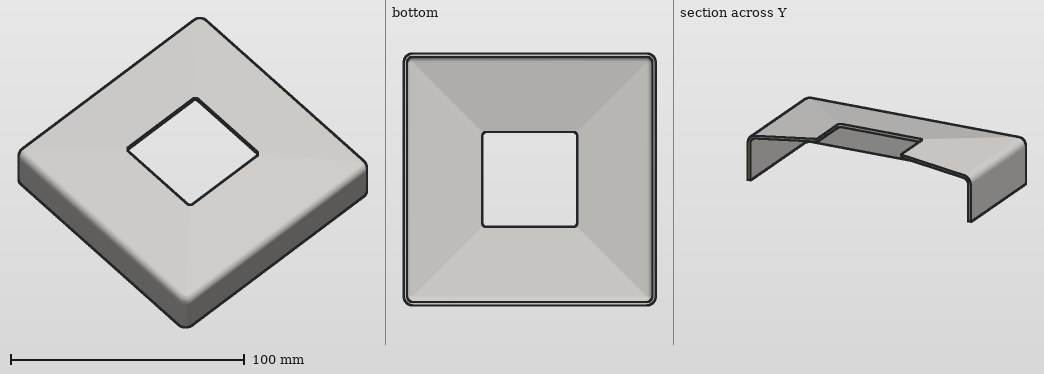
import cadquery as cq
import math

side = 108.0
rim_height = 25.0
opening = 40.5
opening_radius = 1.5
roof_angle = 7.5
edge_radius = 4.0
wall = 1.5

roof_slope = math.tan(math.radians(roof_angle))
eaves_height = rim_height - roof_slope * (side - opening) / 2
roof_drop = wall / math.cos(math.radians(roof_angle))
cavity_side = side - 2 * wall
cavity_eaves_height = eaves_height + wall * roof_slope - roof_drop
cavity_radius = edge_radius - wall


def rounded_hip_block(width, eaves, radius):
    """Solid square block with a pyramid roof, rounded on all but its base edges."""
    walls = cq.Workplane("XY").rect(width, width).extrude(eaves)
    half = width / 2
    apex = (0, 0, eaves + half * roof_slope)
    corners = [(-half, -half, eaves), (half, -half, eaves), (half, half, eaves), (-half, half, eaves)]
    outlines = [corners]
    for index, corner in enumerate(corners):
        next_corner = corners[(index + 1) % len(corners)]
        outlines.append([corner, next_corner, apex])
    faces = []
    for outline in outlines:
        points = [cq.Vector(*point) for point in outline]
        faces.append(cq.Face.makeFromWires(cq.Wire.makePolygon(points, close=True)))
    roof = cq.Workplane(cq.Solid.makeSolid(cq.Shell.makeShell(faces)))
    return walls.union(roof).edges("not <Z").fillet(radius)


def opening_cutter():
    """Square prism with rounded corners, tall enough to pass through the roof."""
    prism = cq.Workplane("XY").rect(opening, opening).extrude(2 * rim_height)
    return prism.edges("|Z").fillet(opening_radius)


outer = rounded_hip_block(side, eaves_height, edge_radius)
cavity = rounded_hip_block(cavity_side, cavity_eaves_height, cavity_radius)

result = outer.cut(cavity).cut(opening_cutter())